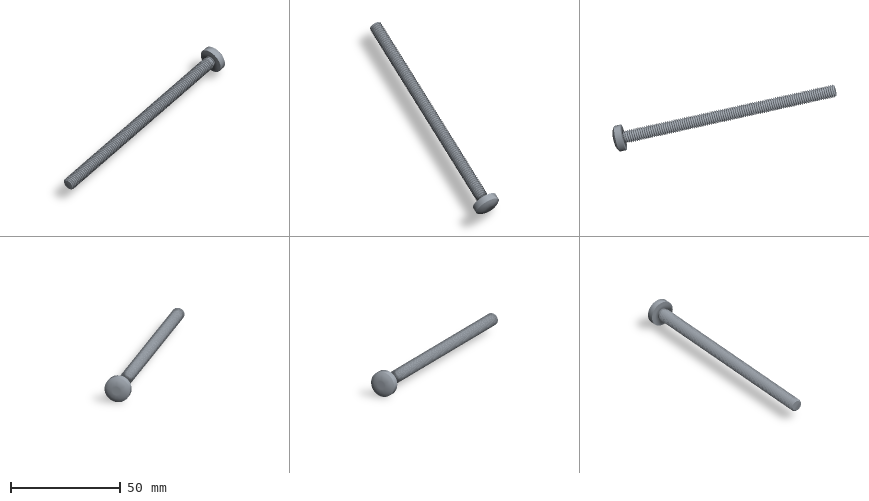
import cadquery as cq
import math

overall_length = 104.6
head_diameter = 12.0
head_height = 4.6
dome_height = 1.6
crown_flat_radius = 2.1

thread_diameter = 6.0
root_diameter = 4.8
collar_diameter = 5.3
collar_length = 1.6
tip_diameter = 4.9
tip_chamfer_length = 0.5

shank_turns = 100
spare_turns = 2
flank_angle = 30.0
crest_share = 0.13
cutter_margin = 1.0

shank_length = overall_length - head_height
pitch = shank_length / shank_turns
crest_width = crest_share * pitch
flank_width = (thread_diameter - root_diameter) / 2 * math.tan(math.radians(flank_angle))
root_width = pitch - crest_width - 2 * flank_width

head_radius = head_diameter / 2
thread_radius = thread_diameter / 2
root_radius = root_diameter / 2
collar_radius = collar_diameter / 2
tip_radius = tip_diameter / 2

crown_z = overall_length / 2
rim_z = crown_z - dome_height
seat_z = crown_z - head_height
tip_z = -overall_length / 2


def revolve_about_z(outline):
    """Revolve a closed radius-height outline about the screw axis."""
    return outline.close().revolve(360, (0, 0, 0), (0, 1, 0))


def make_head():
    """Pan head whose dome arc is tangent to the flat crown and meets a straight rim."""
    dome_run = head_radius - crown_flat_radius
    dome_radius = (dome_run**2 + dome_height**2) / (2 * dome_height)
    half_angle = math.asin(dome_run / dome_radius) / 2
    dome_middle = (
        crown_flat_radius + dome_radius * math.sin(half_angle),
        crown_z - dome_radius * (1 - math.cos(half_angle)),
    )
    return revolve_about_z(
        cq.Workplane("XZ")
        .moveTo(0, seat_z)
        .lineTo(head_radius, seat_z)
        .lineTo(head_radius, rim_z)
        .threePointArc(dome_middle, (crown_flat_radius, crown_z))
        .lineTo(0, crown_z)
    )


def make_thread_rod():
    """Right-hand threaded rod, skinned one turn at a time with helical strips."""
    turn_count = shank_turns + 2 * spare_turns
    crest_rise = root_width + flank_width + crest_width / 2
    start_z = tip_z - spare_turns * pitch - crest_rise
    profile = [
        (root_radius, 0),
        (root_radius, root_width),
        (thread_radius, root_width + flank_width),
        (thread_radius, pitch - flank_width),
        (root_radius, pitch),
    ]

    helices = [
        cq.Wire.makeHelix(pitch, pitch, radius, cq.Vector(0, 0, start_z + rise)).Edges()[0]
        for radius, rise in profile
    ]
    turn_strips = [cq.Face.makeRuledSurface(low, high) for low, high in zip(helices, helices[1:])]
    skin = [
        strip.translate(cq.Vector(0, 0, turn * pitch))
        for turn in range(turn_count)
        for strip in turn_strips
    ]

    axis_edge = cq.Edge.makeLine(cq.Vector(0, 0, start_z), cq.Vector(0, 0, start_z + pitch))
    helicoid = cq.Face.makeRuledSurface(axis_edge, helices[0])
    step_corners = [(0, 0)] + profile + [(0, pitch)]
    step_points = [cq.Vector(radius, 0, start_z + rise) for radius, rise in step_corners]
    step = cq.Face.makeFromWires(cq.Wire.makePolygon(step_points, close=True))
    to_top = cq.Vector(0, 0, turn_count * pitch)
    skin += [helicoid, step, helicoid.translate(to_top), step.translate(to_top)]
    return cq.Workplane(cq.Solid.makeSolid(cq.Shell.makeShell(skin)))


def make_tip_cutter():
    """Everything below the flat tip, together with the ring that chamfers the last thread."""
    chamfer_slope = tip_chamfer_length / (thread_radius - tip_radius)
    outer_radius = thread_radius + cutter_margin
    bottom_z = tip_z - 2 * spare_turns * pitch
    return revolve_about_z(
        cq.Workplane("XZ")
        .moveTo(0, bottom_z)
        .lineTo(outer_radius, bottom_z)
        .lineTo(outer_radius, tip_z + chamfer_slope * (outer_radius - tip_radius))
        .lineTo(tip_radius, tip_z)
        .lineTo(0, tip_z)
    )


def make_collar_cutter():
    """Ring that turns the thread down to the collar diameter next to the head."""
    return (
        cq.Workplane("XY", origin=(0, 0, seat_z - collar_length))
        .circle(thread_radius + cutter_margin)
        .circle(collar_radius)
        .extrude(collar_length)
    )


shank = make_thread_rod().cut(make_tip_cutter())
screw = shank.union(make_head()).cut(make_collar_cutter())
result = screw.rotate((0, 0, 0), (1, 0, 0), -90)